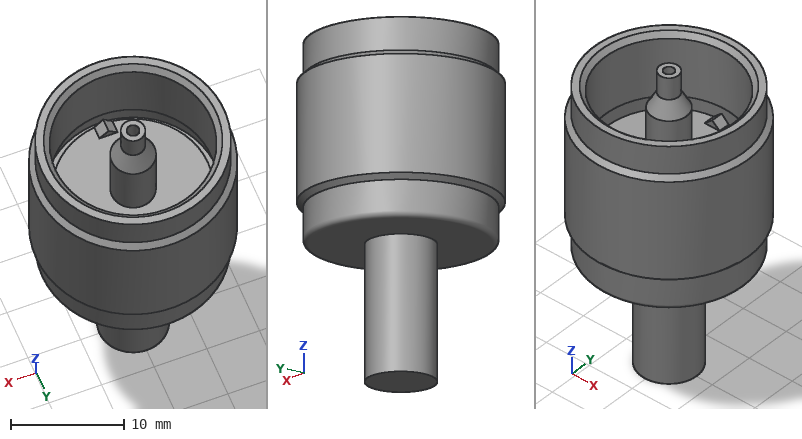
import cadquery as cq
import math

total_height = 32.75
body_bottom = 12.67
sleeve_bottom = 16.05
sleeve_top = 27.97
body_top = 31.05
bore_bottom = 24.07
floor_height = 22.9

stem_radius = 3.2
body_radius = 8.65
sleeve_radius = 9.2
rim_radius = 7.9
bore_radius = 7.37
disc_radius = 7.1
undercut_radius = 7.85
post_radius = 2.03
pin_radius = 1.08
pin_hole_radius = 0.55

bottom_rounding = 0.5
sleeve_bevel_height = 0.5
rim_bevel = rim_radius - bore_radius
pin_length = 2.42
cone_height = 1.67
pin_hole_depth = 3.28
groove_depth = 0.98

tooth_width = 1.75
tooth_height = 0.75
tooth_inner_radius = 5.83

cone_top = total_height - pin_length
cone_bottom = cone_top - cone_height
pin_hole_bottom = total_height - pin_hole_depth
groove_bottom = floor_height - groove_depth


def make_turned_body():
    """Revolve the stem, coupling body, sleeve and centre pin as one half section."""
    rounding_inset = bottom_rounding * (1 - math.sqrt(0.5))
    upper_section = [
        (body_radius, sleeve_bottom),
        (sleeve_radius, sleeve_bottom + sleeve_bevel_height),
        (sleeve_radius, sleeve_top - sleeve_bevel_height),
        (body_radius, sleeve_top),
        (body_radius, body_top),
        (rim_radius, body_top),
        (bore_radius, body_top - rim_bevel),
        (bore_radius, bore_bottom),
        (undercut_radius, bore_bottom),
        (undercut_radius, groove_bottom),
        (disc_radius, groove_bottom),
        (disc_radius, floor_height),
        (post_radius, floor_height),
        (post_radius, cone_bottom),
        (pin_radius, cone_top),
        (pin_radius, total_height),
        (pin_hole_radius, total_height),
        (pin_hole_radius, pin_hole_bottom),
        (0, pin_hole_bottom),
    ]
    half_section = (
        cq.Workplane("XZ")
        .lineTo(stem_radius, 0)
        .lineTo(stem_radius, body_bottom)
        .lineTo(body_radius - bottom_rounding, body_bottom)
        .threePointArc(
            (body_radius - rounding_inset, body_bottom + rounding_inset),
            (body_radius, body_bottom + bottom_rounding),
        )
        .polyline(upper_section, includeCurrent=True)
        .close()
    )
    return half_section.revolve(360, (0, 0), (0, 1))


def make_tooth(side):
    """Build a ridge pointing along Y, ending flush with the round edge of the floor disc."""
    half_width = tooth_width / 2
    ridge = (
        cq.Workplane("XZ", origin=(0, side * tooth_inner_radius, 0))
        .moveTo(-half_width, floor_height)
        .lineTo(half_width, floor_height)
        .lineTo(0, floor_height + tooth_height)
        .close()
        .extrude(-side * (disc_radius - tooth_inner_radius))
    )
    disc_column = (
        cq.Workplane("XY", origin=(0, 0, floor_height))
        .circle(disc_radius)
        .extrude(tooth_height)
    )
    return ridge.intersect(disc_column)


result = make_turned_body()
for side in (-1, 1):
    result = result.union(make_tooth(side))